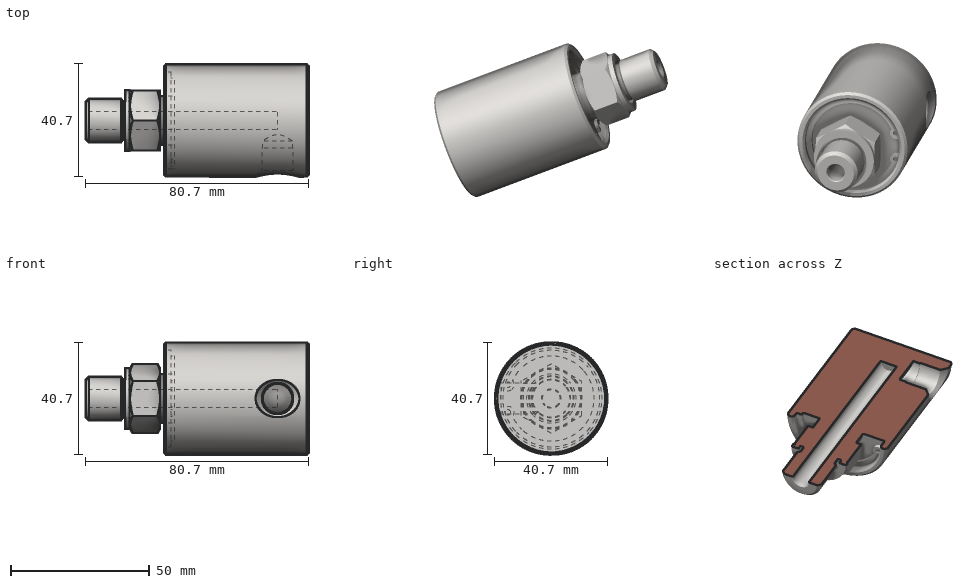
import cadquery as cq
import math


total_length = 80.73
thread_end = 12.7
washer_start = 14.25
hex_start = 15.9
hex_end = 26.9
housing_start = 28.3

thread_diameter = 15.84
thread_chamfer = 1.2
thread_runout_length = 0.75
neck_diameter = 14.0
bore_diameter = 6.4
bore_mouth_diameter = 7.0
bore_chamfer = (bore_mouth_diameter - bore_diameter) / 2

washer_diameter = 22.2
washer_inner_diameter = 16.5

hex_across_flats = 21.75
hex_across_corners = hex_across_flats / math.cos(math.pi / 6)
hex_front_face_diameter = 21.1
hex_rear_face_diameter = hex_across_flats
hex_chamfer_angle = 30
shaft_diameter = 17.85

housing_diameter = 40.71
housing_chamfer = 0.85
recess_diameter = 35.05
recess_chamfer = 0.8

ring_face_depth = 2.6
ring_thickness = 1.2
ring_inner_diameter = 30.9
ring_lug_radius = 2.2
ring_hole_diameter = 1.98
ring_hole_y = 15.67
ring_hole_z = 5.0
ring_gap_half_width = ring_hole_z - ring_lug_radius

port_x = 69.4
port_diameter = 11.35
port_inner_diameter = 10.72
port_step_radius = 10.0
port_countersink_diameter = 15.84
inner_rotor_diameter = 14.8

ring_face = housing_start + ring_face_depth
recess_floor = ring_face + ring_thickness


def x_cylinder(diameter, start, end):
    return cq.Workplane("YZ", origin=(start, 0, 0)).circle(diameter / 2).extrude(end - start)


def x_cone(start_diameter, end_diameter, start, end):
    return (
        cq.Workplane("XY")
        .moveTo(start, 0)
        .lineTo(start, start_diameter / 2)
        .lineTo(end, end_diameter / 2)
        .lineTo(end, 0)
        .close()
        .revolve(360, (0, 0, 0), (1, 0, 0))
    )


def make_spigot():
    neck = x_cylinder(neck_diameter, thread_end, hex_start)
    thread = x_cylinder(thread_diameter, 0, thread_end)
    thread = thread.faces("<X").chamfer(thread_chamfer)
    runout = x_cone(thread_diameter, neck_diameter, thread_end, thread_end + thread_runout_length)
    return neck.union(thread).union(runout)


def make_washer():
    hole = x_cylinder(washer_inner_diameter, washer_start, hex_start)
    return x_cylinder(washer_diameter, washer_start, hex_start).cut(hole)


def make_hexagon():
    """Hexagonal prism trimmed by a cone at each end."""
    length = hex_end - hex_start
    prism = (
        cq.Workplane("YZ", origin=(hex_start, 0, 0))
        .transformed(rotate=(0, 0, 90))
        .polygon(6, hex_across_corners)
        .extrude(length)
    )
    widening = 2 * length / math.tan(math.radians(hex_chamfer_angle))
    front_cone = x_cone(hex_front_face_diameter, hex_front_face_diameter + widening, hex_start, hex_end)
    rear_cone = x_cone(hex_rear_face_diameter + widening, hex_rear_face_diameter, hex_start, hex_end)
    return prism.intersect(front_cone).intersect(rear_cone)


def make_housing():
    """Chamfered round housing with an open recess in its front face."""
    housing = x_cylinder(housing_diameter, housing_start, total_length)
    housing = housing.faces("<X or >X").chamfer(housing_chamfer)
    recess = x_cylinder(recess_diameter, housing_start, recess_floor)
    mouth_diameter = recess_diameter + 2 * recess_chamfer
    mouth = x_cone(mouth_diameter, recess_diameter, housing_start, housing_start + recess_chamfer)
    return housing.cut(recess).cut(mouth)


def make_retaining_ring():
    """Open ring lying on the recess floor, with a drilled lug at each end on the -Y side."""
    plane = cq.Workplane("YZ", origin=(ring_face, 0, 0))
    lug_centres = [(-ring_hole_y, ring_hole_z), (-ring_hole_y, -ring_hole_z)]
    outer_radius = recess_diameter / 2
    disc = plane.circle(outer_radius).extrude(ring_thickness)
    ring = disc.cut(plane.circle(ring_inner_diameter / 2).extrude(ring_thickness))
    lugs = plane.pushPoints(lug_centres).circle(ring_lug_radius).extrude(ring_thickness)
    gap_centre = -(ring_hole_y + outer_radius) / 2
    lug_bridge = (
        plane.center(gap_centre, 0)
        .rect(outer_radius - ring_hole_y, 2 * (ring_hole_z + ring_lug_radius))
        .extrude(ring_thickness)
    )
    gap = (
        plane.center(-outer_radius, 0)
        .rect(outer_radius, 2 * ring_gap_half_width)
        .extrude(ring_thickness)
    )
    holes = plane.pushPoints(lug_centres).circle(ring_hole_diameter / 2).extrude(ring_thickness)
    return ring.union(lugs).union(lug_bridge).intersect(disc).cut(gap).cut(holes)


def make_port():
    """Stepped, countersunk side port; its floor is the curved rotor surface."""
    housing_radius = housing_diameter / 2
    port_radius = port_diameter / 2
    countersink_radius = port_countersink_diameter / 2
    countersink_depth = countersink_radius - port_radius
    profile = (
        cq.Workplane("XY")
        .moveTo(port_x, 0)
        .lineTo(port_x + port_inner_diameter / 2, 0)
        .lineTo(port_x + port_inner_diameter / 2, -port_step_radius)
        .lineTo(port_x + port_radius, -port_step_radius)
        .lineTo(port_x + port_radius, -housing_radius + countersink_depth)
        .lineTo(port_x + countersink_radius, -housing_radius)
        .lineTo(port_x, -housing_radius)
        .close()
    )
    port = profile.revolve(360, (port_x, 0, 0), (port_x, 1, 0))
    rotor = x_cylinder(inner_rotor_diameter, housing_start, total_length)
    return port.cut(rotor)


def make_bore():
    """Axial rotor bore, ending at the side port axis."""
    mouth = x_cone(bore_mouth_diameter, bore_diameter, 0, bore_chamfer)
    return x_cylinder(bore_diameter, 0, port_x).union(mouth)


shaft = x_cylinder(shaft_diameter, hex_end, recess_floor)
result = make_spigot().union(make_washer()).union(make_hexagon()).union(shaft)
result = result.union(make_housing()).union(make_retaining_ring())
result = result.cut(make_port()).cut(make_bore())